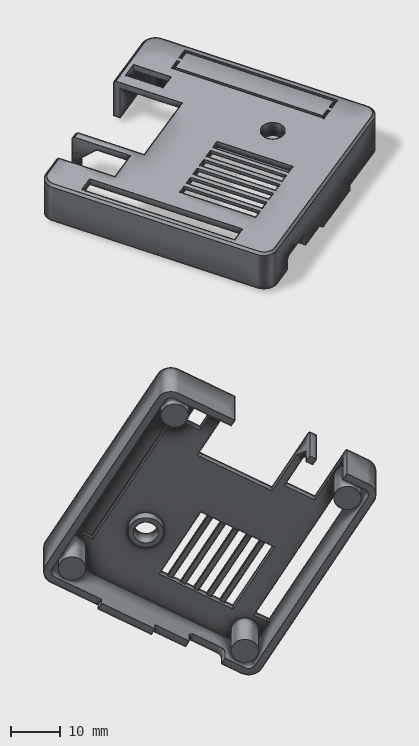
import cadquery as cq

length = 52.0
width = 50.0
height = 11.0
wall = 1.5
tab_drop = 1.5
corner_radius = 3.0
inner_corner_radius = corner_radius - wall
top_chamfer = 0.5

left = -length / 2
right = length / 2
back = width / 2
front = -width / 2
plate_bottom = height - wall

tab_width = 12.4
tab_center_y = 5.0

large_notch_depth = 15.45
large_notch_width = 17.35
large_notch_back = back - 16.1
post_width = 1.5
small_notch_depth = 13.1
small_notch_width = 7.05
large_notch_front = large_notch_back - large_notch_width
small_notch_back = large_notch_front - post_width
gusset_size = 4.0

long_slot_length = 34.3
front_slot_width = 3.6
back_slot_width = 6.15
panel_gap = 0.55
bridge_width = 1.0

window_length = 8.4
window_width = 3.65
window_back = back - 10.05

vent_count = 6
vent_pitch = 3.0
vent_length = 17.05
vent_width = 2.0
slat_thickness = 0.75
vent_left = left + 26.9
first_vent_back = back - 23.45

boss_diameter = 5.5
boss_inset = 5.0

hole_diameter = 5.0
collar_diameter = 7.0
collar_height = 2.05
hole_x = left + 35.5
hole_y = back - 15.6

port_top = 4.9
port_width = 8.3
port_center_y = -13.25
port_corner_radius = 1.25


def block(x_min, x_max, y_min, y_max, z_min, z_max):
    """Box given by its limits along each axis."""
    size = (x_max - x_min, y_max - y_min, z_max - z_min)
    return cq.Workplane("XY").box(*size, centered=False).translate((x_min, y_min, z_min))


def plate_cut(x_min, x_max, y_min, y_max):
    """Full-height cutter for an opening in the top plate."""
    return block(x_min, x_max, y_min, y_max, 0, height)


def shell():
    outer = (
        cq.Workplane("XY", origin=(0, 0, tab_drop))
        .rect(length, width)
        .extrude(height - tab_drop)
        .edges("|Z")
        .fillet(corner_radius)
        .faces(">Z")
        .chamfer(top_chamfer)
    )
    cavity = (
        cq.Workplane("XY", origin=(0, 0, tab_drop))
        .rect(length - 2 * wall, width - 2 * wall)
        .extrude(plate_bottom - tab_drop)
        .edges("|Z")
        .fillet(inner_corner_radius)
    )
    return outer.cut(cavity)


def tab():
    return block(
        right - wall, right, tab_center_y - tab_width / 2, tab_center_y + tab_width / 2, 0, plate_bottom
    )


def collar():
    return (
        cq.Workplane("XY", origin=(hole_x, hole_y, plate_bottom - collar_height))
        .circle(collar_diameter / 2)
        .extrude(collar_height)
    )


def corner_bosses():
    return (
        cq.Workplane("XY", origin=(0, 0, tab_drop))
        .rect(length - 2 * boss_inset, width - 2 * boss_inset, forConstruction=True)
        .vertices()
        .circle(boss_diameter / 2)
        .extrude(plate_bottom - tab_drop)
    )


def hole():
    return cq.Workplane("XY", origin=(hole_x, hole_y, 0)).circle(hole_diameter / 2).extrude(height)


def gusset():
    inner_face = left + wall
    return (
        cq.Workplane("XZ", origin=(0, large_notch_front, 0))
        .moveTo(inner_face, plate_bottom)
        .lineTo(inner_face + gusset_size, plate_bottom)
        .lineTo(inner_face, plate_bottom - gusset_size)
        .close()
        .extrude(post_width)
    )


def left_notches():
    large = plate_cut(left, left + large_notch_depth, large_notch_front, large_notch_back)
    small = plate_cut(left, left + small_notch_depth, small_notch_back - small_notch_width, small_notch_back)
    return large.union(small)


def front_slot():
    y_min = front + wall
    return plate_cut(-long_slot_length / 2, long_slot_length / 2, y_min, y_min + front_slot_width)


def back_panel_gap():
    """Narrow ring around a panel that stays joined by a bridge at each end."""
    center_y = back - wall - back_slot_width / 2
    base = cq.Workplane("XY", origin=(0, center_y, 0))
    opening = base.rect(long_slot_length, back_slot_width).extrude(height)
    panel = base.rect(long_slot_length - 2 * panel_gap, back_slot_width - 2 * panel_gap).extrude(height)
    bridges = base.rect(long_slot_length, bridge_width).extrude(height)
    return opening.cut(panel).cut(bridges)


def window():
    x_min = left + wall
    return plate_cut(x_min, x_min + window_length, window_back - window_width, window_back)


def vents():
    slots = cq.Workplane("XY")
    for index in range(vent_count):
        y_max = first_vent_back - index * vent_pitch
        slots = slots.union(plate_cut(vent_left, vent_left + vent_length, y_max - vent_width, y_max))
    last_vent_front = first_vent_back - (vent_count - 1) * vent_pitch - vent_width
    recess = block(
        vent_left, vent_left + vent_length, last_vent_front, first_vent_back, plate_bottom, height - slat_thickness
    )
    return slots.union(recess)


def port():
    return block(
        right - wall, right, port_center_y - port_width / 2, port_center_y + port_width / 2, 0, port_top
    ).edges("|X and >Z").fillet(port_corner_radius)


result = shell().union(tab()).union(collar()).union(corner_bosses()).union(gusset())
for cutter in (left_notches(), front_slot(), back_panel_gap(), window(), vents(), hole(), port()):
    result = result.cut(cutter)